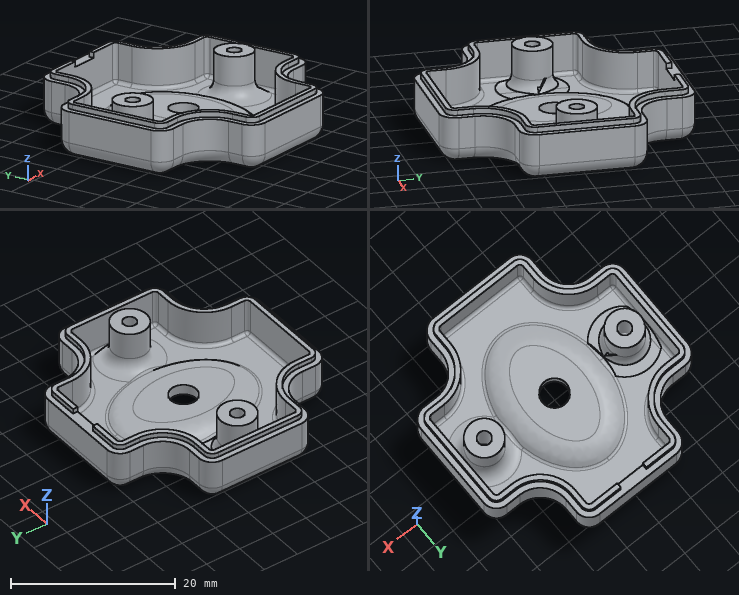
import cadquery as cq
import math

SPAN = 32.0
ARM_WIDTH = 16.0
NOTCH_RADIUS = 4.0
CORNER_RADIUS = 2.0
BOTTOM_FILLET = 2.0
WALL = 1.5
RIM_HEIGHT = 6.0

LIP_INSET = 0.8
LIP_HEIGHT = 0.7
LIP_GAP_WIDTH = 4.0

DOME_RADIUS_X = 8.3
DOME_RADIUS_Y = 11.05
DOME_ROUND = 4.0
DOME_RISE = 1.5
CENTER_HOLE_DIAMETER = 3.75

BOSS_POSITIONS = (-11.0, 11.0)
BOSS_DIAMETER = 5.0
BOSS_TOP = 7.25
BOSS_FLARE = 2.0
PILOT_DIAMETER = 1.85

FLOOR_FILLET = BOTTOM_FILLET - WALL
LIP_TOP = RIM_HEIGHT + LIP_HEIGHT
DOME_TOP = WALL + DOME_RISE


def cross_prism(inset, z_bottom, z_top):
    """Cross-shaped prism whose outline is the tray outline moved inwards by inset."""
    end = SPAN / 2 - inset
    side = ARM_WIDTH / 2 - inset
    notch_center = ARM_WIDTH / 2 + NOTCH_RADIUS
    notch_middle = notch_center - (NOTCH_RADIUS + inset) * math.sqrt(0.5)
    corner_center = SPAN / 2 - CORNER_RADIUS
    corner_side = ARM_WIDTH / 2 - CORNER_RADIUS
    corner_reach = (CORNER_RADIUS - inset) * math.sqrt(0.5)

    quarter = [
        ((end, corner_side), None),
        ((corner_center, side), (corner_center + corner_reach, corner_side + corner_reach)),
        ((notch_center, side), None),
        ((side, notch_center), (notch_middle, notch_middle)),
        ((side, corner_center), None),
        ((corner_side, end), (corner_side + corner_reach, corner_center + corner_reach)),
    ]

    def turned(point, quarter_turns):
        """Point turned about the origin by whole quarter turns."""
        x, y = point
        for _ in range(quarter_turns):
            x, y = -y, x
        return (x, y)

    outline = cq.Workplane("XY", origin=(0, 0, z_bottom)).moveTo(end, -corner_side)
    for turns in range(4):
        for target, arc_middle in quarter:
            if arc_middle is None:
                outline = outline.lineTo(*turned(target, turns))
            else:
                outline = outline.threePointArc(turned(arc_middle, turns), turned(target, turns))
    return outline.close().extrude(z_top - z_bottom)


def oval_dome(offset, z_top):
    """Oval plug with a rounded upper edge, its semi-axes and rounding reduced by offset."""
    rounding = DOME_ROUND - offset
    height = rounding + DOME_RISE
    return (
        cq.Workplane("XY", origin=(0, 0, z_top - height))
        .ellipse(DOME_RADIUS_X - offset, DOME_RADIUS_Y - offset)
        .extrude(height)
        .faces(">Z")
        .edges()
        .fillet(rounding)
    )


def dome_foot(z):
    """Selects the edges around the foot of a dome standing on a face at height z."""
    margin = 0.01
    return cq.selectors.BoxSelector(
        (-DOME_RADIUS_X, -DOME_RADIUS_Y, z - margin),
        (DOME_RADIUS_X, DOME_RADIUS_Y, z + DOME_RISE / 2),
        boundingbox=True,
    )


def shell():
    """Open cross-shaped tray with rounded bottom edges inside and out."""
    outside = cross_prism(0, 0, RIM_HEIGHT).faces("<Z").edges().fillet(BOTTOM_FILLET)
    inside = cross_prism(WALL, WALL, RIM_HEIGHT).faces("<Z").edges().fillet(FLOOR_FILLET)
    return outside.cut(inside)


def add_dome(body):
    """Raise the dome from the floor, blend its foot, and hollow it from below."""
    above_floor = cross_prism(WALL, WALL, RIM_HEIGHT)
    body = body.union(oval_dome(0, DOME_TOP).intersect(above_floor))
    body = body.edges(dome_foot(WALL)).fillet(FLOOR_FILLET)
    body = body.cut(oval_dome(WALL, DOME_TOP - WALL))
    return body.edges(dome_foot(0)).fillet(BOTTOM_FILLET)


def lip():
    """Thin raised lip around the rim, open in the middle of the +Y arm."""
    ring = cross_prism(LIP_INSET, RIM_HEIGHT, LIP_TOP).cut(cross_prism(WALL, RIM_HEIGHT, LIP_TOP))
    gap = cq.Workplane("XY", origin=(0, SPAN / 2, RIM_HEIGHT)).box(
        LIP_GAP_WIDTH, SPAN / 2, LIP_HEIGHT, centered=(True, True, False)
    )
    return ring.cut(gap)


def boss(x):
    """Round boss with a concave flare where it meets the floor."""
    radius = BOSS_DIAMETER / 2
    arc_reach = BOSS_FLARE * (1 - math.sqrt(0.5))
    return (
        cq.Workplane("XZ")
        .lineTo(radius + BOSS_FLARE, 0)
        .threePointArc((radius + arc_reach, arc_reach), (radius, BOSS_FLARE))
        .lineTo(radius, BOSS_TOP - WALL)
        .lineTo(0, BOSS_TOP - WALL)
        .close()
        .revolve(360, (0, 0, 0), (0, 1, 0))
        .translate((x, 0, WALL))
    )


def hole(x, diameter, z_bottom):
    """Vertical cylinder from z_bottom up through the top of the part."""
    return (
        cq.Workplane("XY", origin=(x, 0, z_bottom))
        .circle(diameter / 2)
        .extrude(BOSS_TOP - z_bottom)
    )


result = shell()
for boss_x in BOSS_POSITIONS:
    result = result.union(boss(boss_x))
result = add_dome(result)
result = result.union(lip())
for boss_x in BOSS_POSITIONS:
    result = result.cut(hole(boss_x, PILOT_DIAMETER, WALL))
result = result.cut(hole(0, CENTER_HOLE_DIAMETER, 0))